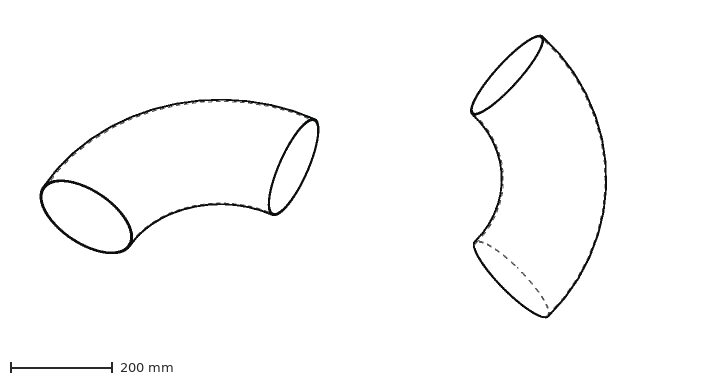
import cadquery as cq

overall_length = 403.0
outer_diameter = 206.0
wall_thickness = 3.0
bend_angle = 90.0

outer_radius = outer_diameter / 2
inner_radius = outer_radius - wall_thickness
bend_radius = overall_length - outer_radius

pipe_section = cq.Workplane("XZ").circle(outer_radius).circle(inner_radius)

result = pipe_section.revolve(
    bend_angle,
    axisStart=(bend_radius, 0),
    axisEnd=(bend_radius, -1),
)